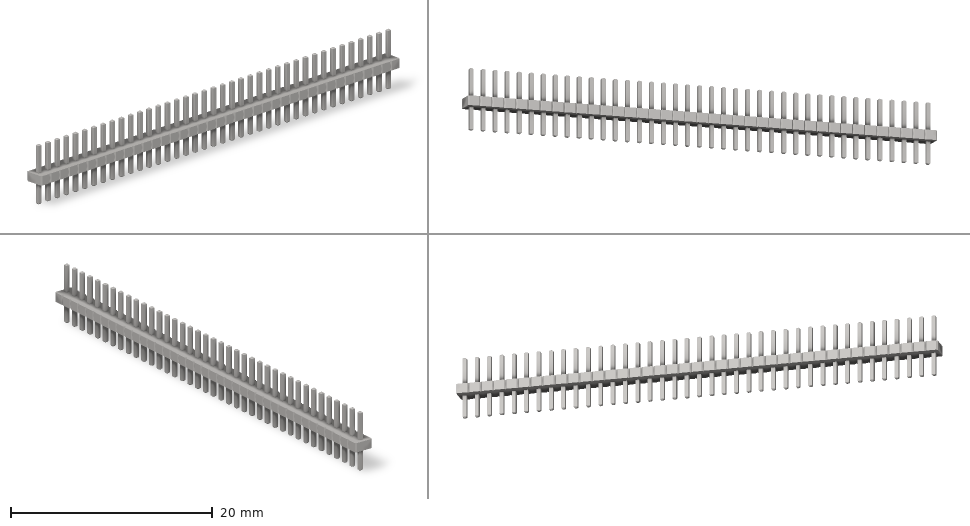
import cadquery as cq

total_length = 49.55
pin_count = 39
body_width = 2.1
body_height = 1.0
total_height = 6.3
pin_above_body = 2.95
pin_size = 0.4
groove_depth = 0.15
groove_half_width = 0.125
tip_height = 0.1
tip_size = 0.2

pitch = total_length / pin_count
pin_below_body = total_height - pin_above_body - body_height
pin_bottom = -pin_below_body
shank_length = total_height - 2 * tip_height
first_pin_y = (pitch - total_length) / 2


def make_body():
    """Row of housing cells; their chamfered corners leave V-grooves at each joint."""
    half_width = body_width / 2
    half_length = total_length / 2
    body = cq.Workplane("XY").box(body_width, total_length, body_height, centered=(True, True, False))
    for side in (-1, 1):
        outer = side * half_width
        inner = side * (half_width - groove_depth)
        for joint in range(pin_count + 1):
            joint_y = joint * pitch - half_length
            groove = (
                cq.Workplane("XY")
                .moveTo(outer, joint_y - groove_half_width)
                .lineTo(inner, joint_y)
                .lineTo(outer, joint_y + groove_half_width)
                .close()
                .extrude(body_height)
            )
            body = body.cut(groove)
    return body


def make_tip(base_z, direction):
    """Tapered square end of a pin, narrowing away from its shank."""
    return (
        cq.Workplane("XY", origin=(0, 0, base_z))
        .rect(pin_size, pin_size)
        .workplane(offset=direction * tip_height)
        .rect(tip_size, tip_size)
        .loft(ruled=True)
    )


def make_pin():
    """Square pin with a tapered tip at each end."""
    shank_bottom = pin_bottom + tip_height
    shank = (
        cq.Workplane("XY", origin=(0, 0, shank_bottom))
        .rect(pin_size, pin_size)
        .extrude(shank_length)
    )
    lower_tip = make_tip(shank_bottom, -1)
    upper_tip = make_tip(shank_bottom + shank_length, 1)
    return shank.union(lower_tip).union(upper_tip)


pin = make_pin().val()
pins = [pin.translate(cq.Vector(0, first_pin_y + index * pitch, 0)) for index in range(pin_count)]
result = cq.Workplane("XY").newObject([make_body().val().fuse(*pins)])